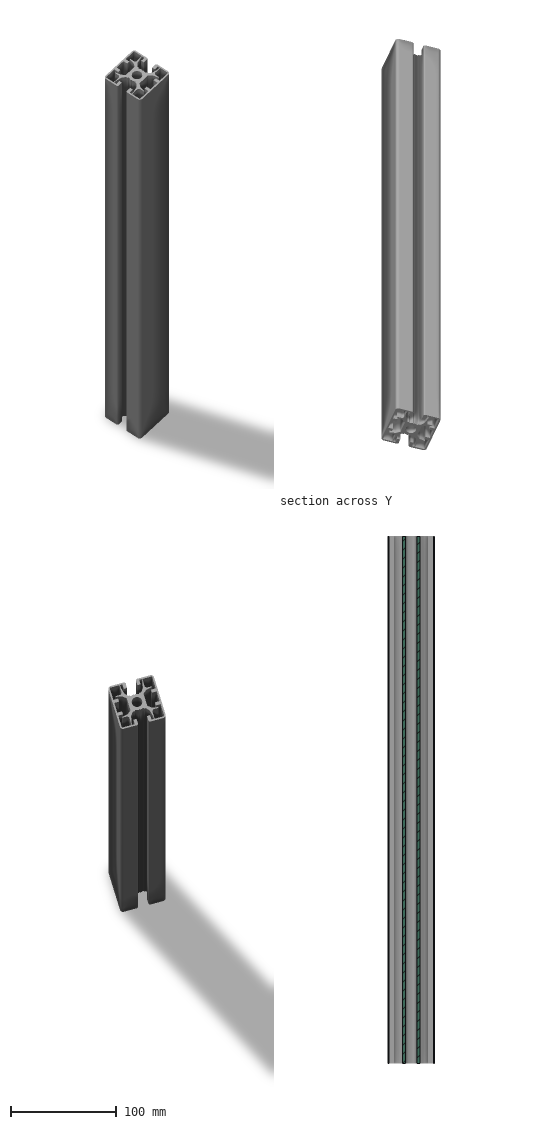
import cadquery as cq

side = 45.0
length = 500.0
corner_radius = 3.0

wall = 1.6
core_half = 8.3
bore_diameter = 10.0

mouth_half = 5.1
mouth_rounding = 1.5
lip_depth = 6.3
lip_half = 8.3
undercut_half = 10.8
undercut_knee = 18.8
waist_half = 9.3
waist_height = 12.0
floor_half = 6.3
web_root_half = 7.3
web_root_height = 9.4

channel_half = 4.8
valley_half = 4.0
valley_depth = 0.94
ridge_groove_half = 0.75
ridge_groove_depth = 0.8

hollow_edge = 11.4
hollow_bevel = 1.4
leg_tip = 17.8
leg_tip_height = 11.3

gap_bottom = 9.0

half_side = side / 2
inner_face = half_side - wall
lip_end = half_side - lip_depth


def extruded(points):
    """Prism of the full length on a closed outline."""
    return cq.Workplane("XY").polyline(points).close().extrude(length)


def mirrored(right_half):
    """Closed outline from the points of its right half."""
    left_half = [(-x, y) for x, y in reversed(right_half) if x > 0]
    return right_half + left_half


def turned(body, angle):
    """Body turned about the profile axis by an angle in degrees."""
    return body.rotate((0, 0, 0), (0, 0, 1), angle)


def slot_cavity():
    """Undercut cavity behind the lips, down to the flat face of the core."""
    return extruded(
        mirrored(
            [
                (mouth_half, inner_face),
                (mouth_half, lip_end),
                (lip_half, lip_end),
                (lip_half, inner_face),
                (undercut_half, inner_face),
                (undercut_half, undercut_knee),
                (waist_half, waist_height),
                (web_root_half, web_root_height),
                (floor_half, core_half),
            ]
        )
    )


def slot_mouth():
    """Opening through the outer wall, with rounded outer edges."""
    arc_top = mouth_half + mouth_rounding
    arc_bottom = half_side - mouth_rounding
    return (
        cq.Workplane("XY")
        .moveTo(arc_top, half_side)
        .radiusArc((mouth_half, arc_bottom), -mouth_rounding)
        .lineTo(mouth_half, lip_end)
        .lineTo(-mouth_half, lip_end)
        .lineTo(-mouth_half, arc_bottom)
        .radiusArc((-arc_top, half_side), -mouth_rounding)
        .close()
        .extrude(length)
    )


def floor_channel():
    """Channel in the slot floor, rising to a grooved ridge at its middle."""
    return extruded(
        mirrored(
            [
                (channel_half, core_half),
                (valley_half, core_half - valley_depth),
                (ridge_groove_half, core_half),
                (0, core_half - ridge_groove_depth),
            ]
        )
    )


def corner_hollow():
    """Hollow in the +X +Y corner; its gap leaves the leg beside the closed slot free."""
    return extruded(
        [
            (inner_face, inner_face),
            (hollow_edge, inner_face),
            (hollow_edge, hollow_edge + hollow_bevel),
            (hollow_edge + hollow_bevel, hollow_edge),
            (leg_tip, leg_tip_height),
            (leg_tip, gap_bottom),
            (inner_face, gap_bottom),
        ]
    )


result = cq.Workplane("XY").rect(side, side).extrude(length).edges("|Z").fillet(corner_radius)
result = result.cut(cq.Workplane("XY").circle(bore_diameter / 2).extrude(length))

for angle in (0, 90, 180, 270):
    result = result.cut(turned(slot_cavity(), angle))

for angle in (0, 180):
    hollow = turned(corner_hollow(), angle)
    result = result.cut(hollow).cut(hollow.mirror("YZ"))
    result = result.cut(turned(slot_mouth(), angle))
    result = result.cut(turned(floor_channel(), angle))